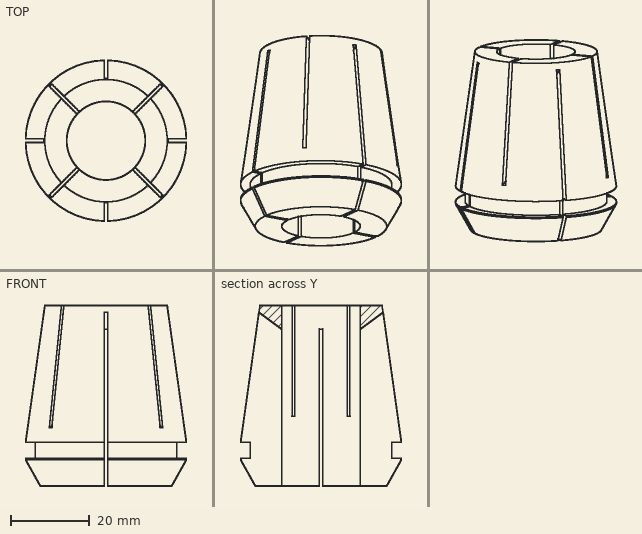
import cadquery as cq

height = 46.0
outer_radius = 20.495
bore_radius = 10.0
base_radius = 16.75
groove_radius = 18.05
top_radius = 15.6
flange_edge_z = 6.7
flange_top_z = 7.1
cone_base_z = 11.15

slot_width = 0.87
slot_count_per_end = 4
lower_slot_bore_z = 39.9
lower_slot_cone_z = 44.2
upper_slot_bore_z = 17.8
upper_slot_cone_z = 14.9
clearance = 2.3


def cone_radius(z):
    """Radius of the long outer taper at height z."""
    taper = (outer_radius - top_radius) / (height - cone_base_z)
    return top_radius + taper * (height - z)


def make_body():
    """Bored collet body with a conical nose, a groove and a long taper."""
    profile = [
        (bore_radius, 0),
        (base_radius, 0),
        (outer_radius, flange_edge_z),
        (outer_radius, flange_top_z),
        (groove_radius, flange_top_z),
        (groove_radius, cone_base_z),
        (outer_radius, cone_base_z),
        (top_radius, height),
        (bore_radius, height),
    ]
    return cq.Workplane("XZ").polyline(profile).close().revolve(360, (0, 0), (0, 1))


def make_slot(bore_z, cone_z, open_z, angle):
    """Radial slot running from its sloping end to open_z, beyond one end face."""
    slope = (cone_z - bore_z) / (cone_radius(cone_z) - bore_radius)
    inner = bore_radius - clearance
    outer = outer_radius + clearance
    profile = [
        (inner, open_z),
        (outer, open_z),
        (outer, bore_z + slope * (outer - bore_radius)),
        (inner, bore_z + slope * (inner - bore_radius)),
    ]
    slot = cq.Workplane("XZ").polyline(profile).close().extrude(slot_width / 2, both=True)
    return slot.rotate((0, 0, 0), (0, 0, 1), angle)


result = make_body()
slot_pitch = 360 / slot_count_per_end
for index in range(slot_count_per_end):
    lower_angle = index * slot_pitch
    upper_angle = lower_angle + slot_pitch / 2
    result = result.cut(make_slot(lower_slot_bore_z, lower_slot_cone_z, -clearance, lower_angle))
    result = result.cut(make_slot(upper_slot_bore_z, upper_slot_cone_z, height + clearance, upper_angle))